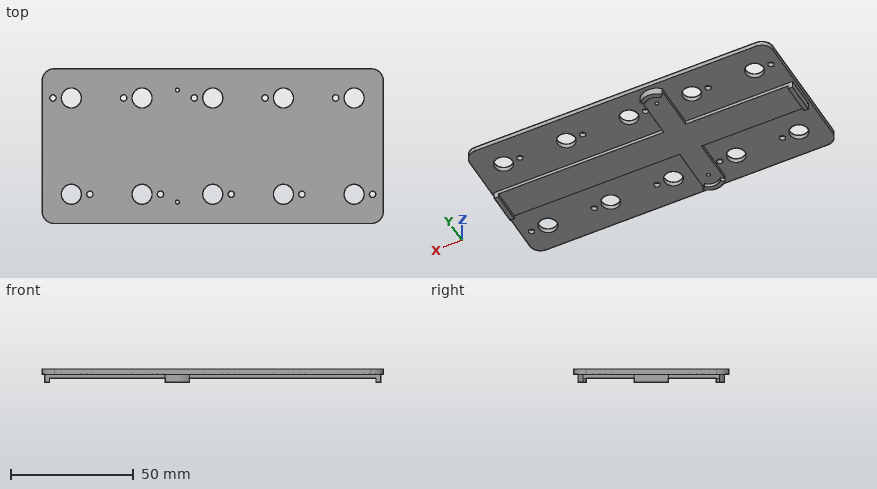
import cadquery as cq
import math

plate_length = 139.1
plate_width = 63.1
plate_corner_radius = 5.0
total_height = 5.5
hook_height = 1.7
stiffener_height = 1.7
stiffener_top = hook_height + stiffener_height
plate_thickness = total_height - stiffener_top

hole_columns = 5
hole_pitch = 28.8
row_offset = 19.6
large_hole_diameter = 8.0
small_hole_diameter = 2.5
small_hole_offset = 7.5

bar_length = 136.9
bar_width = 14.0
end_hook_thickness = 2.0

cross_bar_x = -hole_pitch / 2
pivot_offset = 22.8
pivot_hole_diameter = 1.5
end_radius = 7.1
curved_hook_thickness = 2.0
hook_sector_angle = 90


def polar_point(radius, angle):
    """Point on the +Y side, with the angle measured from +Y around the pivot."""
    turn = math.radians(angle)
    return (
        cross_bar_x + radius * math.sin(turn),
        pivot_offset + radius * math.cos(turn),
    )


def mirrored_pair(solid):
    """The solid together with its mirror image on the -Y side."""
    return solid.union(solid.mirror("XZ"))


def make_plate():
    return (
        cq.Workplane("XY", origin=(0, 0, stiffener_top))
        .rect(plate_length, plate_width)
        .extrude(plate_thickness)
        .edges("|Z")
        .fillet(plate_corner_radius)
    )


def make_long_bar():
    bar = (
        cq.Workplane("XY", origin=(0, 0, hook_height))
        .rect(bar_length, bar_width)
        .extrude(stiffener_height)
    )
    hook_x = (bar_length - end_hook_thickness) / 2
    hooks = (
        cq.Workplane("XY")
        .pushPoints([(-hook_x, 0), (hook_x, 0)])
        .rect(end_hook_thickness, bar_width)
        .extrude(hook_height)
    )
    return bar.union(hooks)


def make_cross_bar():
    half_angle = hook_sector_angle / 2
    outer_left = polar_point(end_radius, -half_angle)
    outer_middle = polar_point(end_radius, 0)
    outer_right = polar_point(end_radius, half_angle)
    half_bar = (
        cq.Workplane("XY", origin=(0, 0, hook_height))
        .moveTo(outer_left[0], 0)
        .lineTo(*outer_left)
        .threePointArc(outer_middle, outer_right)
        .lineTo(outer_right[0], 0)
        .close()
        .extrude(stiffener_height)
    )
    inner_radius = end_radius - curved_hook_thickness
    hook = (
        cq.Workplane("XY")
        .moveTo(*outer_left)
        .threePointArc(outer_middle, outer_right)
        .lineTo(*polar_point(inner_radius, half_angle))
        .threePointArc(polar_point(inner_radius, 0), polar_point(inner_radius, -half_angle))
        .close()
        .extrude(hook_height)
    )
    return mirrored_pair(half_bar.union(hook))


def through_holes(points, diameter):
    return cq.Workplane("XY").pushPoints(points).circle(diameter / 2).extrude(total_height)


column_positions = [hole_pitch * (i - (hole_columns - 1) / 2) for i in range(hole_columns)]
large_hole_points = []
small_hole_points = []
for side in (-1, 1):
    for x in column_positions:
        large_hole_points.append((x, side * row_offset))
        small_hole_points.append((x - side * small_hole_offset, side * row_offset))
pivot_points = [(cross_bar_x, -pivot_offset), (cross_bar_x, pivot_offset)]

result = (
    make_plate()
    .union(make_long_bar())
    .union(make_cross_bar())
    .cut(through_holes(large_hole_points, large_hole_diameter))
    .cut(through_holes(small_hole_points, small_hole_diameter))
    .cut(through_holes(pivot_points, pivot_hole_diameter))
)